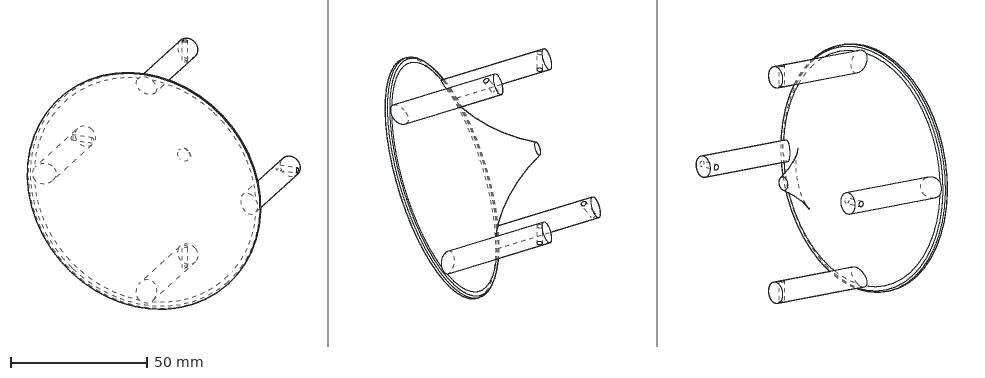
import cadquery as cq

disc_diameter = 92.0
disc_thickness = 1.7
disc_chamfer = 0.6
overall_depth = 43.5

post_diameter = 8.0
post_circle_radius = 40.5
post_count = 4
pin_hole_diameter = 2.0
pin_hole_end_distance = 2.9

cone_base_radius = 43.8
cone_middle_radius = 20.5
cone_middle_height = 15.8
cone_tip_diameter = 5.0
cone_tip_height = 39.7


def cylinder_along_y(diameter, start, end):
    """Cylinder on the Y axis between two Y positions."""
    axis = cq.Vector(0, 1, 0)
    return cq.Workplane(cq.Solid.makeCylinder(diameter / 2, end - start, cq.Vector(0, start, 0), axis))


def make_disc():
    disc = cylinder_along_y(disc_diameter, 0, disc_thickness)
    return disc.faces(">Y").edges().chamfer(disc_chamfer)


def make_cone():
    return (
        cq.Workplane("XY")
        .lineTo(cone_base_radius, 0)
        .lineTo(cone_base_radius, disc_thickness)
        .threePointArc(
            (cone_middle_radius, cone_middle_height),
            (cone_tip_diameter / 2, cone_tip_height),
        )
        .lineTo(0, cone_tip_height)
        .close()
        .revolve(360, (0, 0, 0), (0, 1, 0))
    )


def make_post():
    """Post on the +X side, with a radial pin hole near its free end."""
    post = cylinder_along_y(post_diameter, 0, overall_depth)
    pin_hole = (
        cq.Workplane("YZ")
        .center(overall_depth - pin_hole_end_distance, 0)
        .circle(pin_hole_diameter / 2)
        .extrude(post_diameter, both=True)
    )
    return post.cut(pin_hole).translate((post_circle_radius, 0, 0))


result = make_disc().union(make_cone())
post = make_post()
for index in range(post_count):
    angle = index * 360 / post_count
    result = result.union(post.rotate((0, 0, 0), (0, 1, 0), angle))